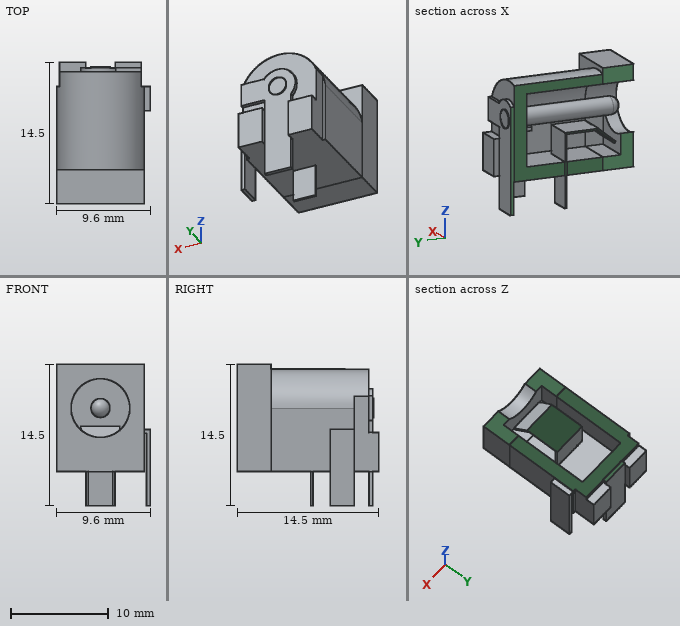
import cadquery as cq
import math

body_half_width = 4.5
flange_top = 4.5
body_bottom = -6.5
flange_depth = 3.5
barrel_top = 4.0
barrel_rear = 13.5

tail_half_width = 4.19
tail_start = 12.0
post_rear = 14.5
post_top = -2.5

bore_radius = 6.0 / 2
bore_depth = 1.5
wall = 1.5
cavity_floor = body_bottom + wall
cavity_rear = tail_start

pin_radius = 1.95 / 2
pin_tip = 1.2
pin_head_radius = 2.0 / 2
pin_rear = 14.0

leg_bottom = flange_top - 14.5
plate_thickness = 0.4
terminal_width = 2.5
rear_disc_radius = 2.0
rear_leg_width = 3.0
side_terminal_outer = 5.1
side_terminal_top = -2.19

spring_thickness = 0.25
spring_width = 4.0
spring_tip_y = 2.0
spring_tip_z = -3.52
spring_peak_y = 4.0
spring_top = -1.88
spring_leg_rear = 7.77


def block(x0, x1, y0, y1, z0, z1):
    """Box between two opposite corners."""
    return cq.Workplane("XY").box(x1 - x0, y1 - y0, z1 - z0, centered=False).translate((x0, y0, z0))


def rod(radius, y0, y1):
    """Cylinder on the socket axis."""
    return cq.Workplane("XZ", origin=(0, y0, 0)).circle(radius).extrude(y0 - y1)


def make_barrel_blank():
    """Solid barrel with straight sides below the axis and an arched top."""
    return (
        cq.Workplane("XZ", origin=(0, flange_depth, 0))
        .moveTo(-body_half_width, body_bottom)
        .lineTo(-body_half_width, 0)
        .threePointArc((0, barrel_top), (body_half_width, 0))
        .lineTo(body_half_width, body_bottom)
        .close()
        .extrude(flange_depth - barrel_rear)
    )


def hollow_out(body):
    """Cut the round bore along the axis and widen its lower half behind the opening."""
    lower_cavity = block(-bore_radius, bore_radius, bore_depth, cavity_rear, cavity_floor, 0)
    return body.cut(rod(bore_radius, 0, cavity_rear)).cut(lower_cavity)


def make_flange():
    return hollow_out(block(-body_half_width, body_half_width, 0, flange_depth, body_bottom, flange_top))


def make_pin():
    nose_center = pin_tip + pin_radius
    nose_offset = pin_radius * math.sqrt(0.5)
    return (
        cq.Workplane("XY")
        .moveTo(0, pin_tip)
        .threePointArc((nose_offset, nose_center - nose_offset), (pin_radius, nose_center))
        .lineTo(pin_radius, barrel_rear)
        .lineTo(pin_head_radius, barrel_rear)
        .lineTo(pin_head_radius, pin_rear)
        .lineTo(0, pin_rear)
        .close()
        .revolve(360, (0, 0, 0), (0, 1, 0))
    )


def make_rear_terminal():
    """Disc around the pin head, with a leg down and an arm toward +X."""
    plate_rear = barrel_rear + plate_thickness
    half_leg = rear_leg_width / 2
    half_arm = terminal_width / 2
    disc = rod(rear_disc_radius, barrel_rear, plate_rear)
    leg = block(-half_leg, half_leg, barrel_rear, plate_rear, leg_bottom, 0)
    arm = block(0, tail_half_width, barrel_rear, plate_rear, -half_arm, half_arm)
    return disc.union(leg).union(arm).cut(rod(pin_head_radius, barrel_rear, plate_rear))


def make_side_terminal():
    """Angle strip through the +X wall, with its leg outside the barrel."""
    front = tail_start - terminal_width
    arm_bottom = side_terminal_top - plate_thickness
    leg_inner = side_terminal_outer - plate_thickness
    arm = block(bore_radius, side_terminal_outer, front, tail_start, arm_bottom, side_terminal_top)
    leg = block(leg_inner, side_terminal_outer, front, tail_start, leg_bottom, side_terminal_top)
    return arm.union(leg)


def make_contact_spring():
    """Ramped strip inside the cavity, with a narrower leg through its floor."""
    leg_front = spring_leg_rear - spring_thickness
    ramp_angle = math.atan2(spring_top - spring_tip_z, spring_peak_y - spring_tip_y)
    tip_dy = spring_thickness * math.sin(ramp_angle)
    tip_dz = spring_thickness * math.cos(ramp_angle)
    bend_dy = spring_thickness * math.tan(ramp_angle / 2)
    strip = (
        cq.Workplane("YZ", origin=(-spring_width / 2, 0, 0))
        .moveTo(spring_tip_y, spring_tip_z)
        .lineTo(spring_peak_y, spring_top)
        .lineTo(spring_leg_rear, spring_top)
        .lineTo(spring_leg_rear, cavity_floor)
        .lineTo(leg_front, cavity_floor)
        .lineTo(leg_front, spring_top - spring_thickness)
        .lineTo(spring_peak_y + bend_dy, spring_top - spring_thickness)
        .lineTo(spring_tip_y + tip_dy, spring_tip_z - tip_dz)
        .close()
        .extrude(spring_width)
    )
    half_leg = terminal_width / 2
    leg = block(-half_leg, half_leg, leg_front, spring_leg_rear, leg_bottom, cavity_floor)
    return strip.union(leg)


def make_barrel(inserts):
    """Barrel with its tail, posts and cavity, and a matching opening for each insert."""
    shell = make_barrel_blank()
    for side in (-1, 1):
        x0, x1 = sorted((side * tail_half_width, side * body_half_width))
        shell = shell.cut(block(x0, x1, tail_start, barrel_rear, body_bottom, barrel_top))
    for side in (-1, 1):
        x0, x1 = sorted((side * rear_leg_width / 2, side * tail_half_width))
        shell = shell.union(block(x0, x1, barrel_rear, post_rear, body_bottom, post_top))
    shell = hollow_out(shell)
    for insert in inserts:
        shell = shell.cut(insert)
    return shell


flange = make_flange()
pin = make_pin()
rear_terminal = make_rear_terminal()
side_terminal = make_side_terminal()
contact_spring = make_contact_spring()
barrel = make_barrel([pin, side_terminal, contact_spring])

result = cq.Compound.makeCompound([
    flange.val(),
    barrel.val(),
    pin.val(),
    rear_terminal.val(),
    side_terminal.val(),
    contact_spring.val(),
])